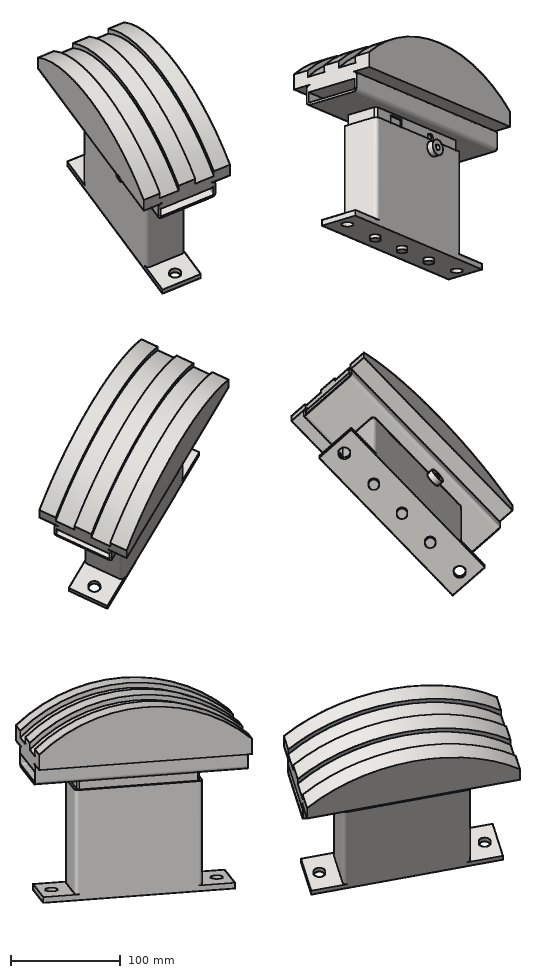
import cadquery as cq
import math

LENGTH = 200.0
HEAD_WIDTH = 90.0
HEIGHT = 192.5

STUD_HEIGHT = 3.5
STUD_SPACING = 38.0
STUD_DIAMETER = 10.0

PLATE_LENGTH = 180.0
PLATE_THICKNESS = 5.5
MOUNT_HOLE_DIAMETER = 11.2
MOUNT_HOLE_INSET = 12.5

POST_LENGTH = 120.0
POST_WIDTH = 40.0
POST_HEIGHT = 100.0
POST_RADIUS = 3.5
NECK_CLEARANCE = 2.5
NECK_CHAMFER = 2.0

RECESS_DEPTH = 2.0
WINDOW_X = -29.0
WINDOW_WIDTH = 15.5
WINDOW_HEIGHT = 8.8
SLOT_WIDTH = 7.5
SLOT_HEIGHT = 7.0

KNOB_X = 19.5
KNOB_DROP = 8.5
KNOB_DIAMETER = 14.8
KNOB_LENGTH = 6.5
KNOB_BORE = 5.2

RAIL_DROP = 72.5
RAIL_WIDTH = 59.5
RAIL_HEIGHT = 19.5
RAIL_WALL = 2.5
RAIL_BEND_RADIUS = 3.5
RAIL_OPENING = 35.0

CROWN_RADIUS = 150.0
GROOVE_DEPTH = 4.8
GROOVE_WIDTH = 19.5
MIDDLE_RIB_WIDTH = 17.5
KEY_DEPTH = 7.0

plate_top = STUD_HEIGHT + PLATE_THICKNESS
post_top = plate_top + POST_HEIGHT
rail_bottom = HEIGHT - RAIL_DROP
rail_top = rail_bottom + RAIL_HEIGHT
neck_height = rail_bottom - post_top


def box(length, width, height, bottom):
    """Block centred on X and Y, standing on the given height."""
    return cq.Workplane("XY", origin=(0, 0, bottom)).box(length, width, height, centered=(True, True, False))


def make_base():
    plate = box(PLATE_LENGTH, POST_WIDTH, PLATE_THICKNESS, STUD_HEIGHT)
    hole_x = PLATE_LENGTH / 2 - MOUNT_HOLE_INSET
    plate = plate.faces(">Z").workplane().pushPoints([(-hole_x, 0), (hole_x, 0)]).hole(MOUNT_HOLE_DIAMETER)
    for place in (-1, 0, 1):
        stud = cq.Workplane("XY").center(place * STUD_SPACING, 0).circle(STUD_DIAMETER / 2).extrude(STUD_HEIGHT)
        plate = plate.union(stud)
    return plate


def make_neck():
    width = POST_WIDTH - 2 * NECK_CLEARANCE
    length = POST_LENGTH - 2 * NECK_CLEARANCE
    neck = box(length, width, neck_height, post_top).edges("|Z").chamfer(NECK_CHAMFER)
    face = cq.Workplane("XZ", origin=(0, -width / 2, post_top))
    window = face.center(WINDOW_X, WINDOW_HEIGHT / 2).rect(WINDOW_WIDTH, WINDOW_HEIGHT).extrude(-RECESS_DEPTH)
    slot_side = SLOT_HEIGHT - SLOT_WIDTH / 2
    slot = (
        face.center(KNOB_X, 0)
        .moveTo(-SLOT_WIDTH / 2, 0)
        .lineTo(-SLOT_WIDTH / 2, slot_side)
        .threePointArc((0, SLOT_HEIGHT), (SLOT_WIDTH / 2, slot_side))
        .lineTo(SLOT_WIDTH / 2, 0)
        .close()
        .extrude(-RECESS_DEPTH)
    )
    return neck.cut(window).cut(slot)


def make_knob():
    face = cq.Workplane("XZ", origin=(KNOB_X, -POST_WIDTH / 2, post_top - KNOB_DROP))
    return face.circle(KNOB_DIAMETER / 2).circle(KNOB_BORE / 2).extrude(KNOB_LENGTH)


def make_rail():
    inner_width = RAIL_WIDTH - 2 * RAIL_WALL
    inner_height = RAIL_HEIGHT - 2 * RAIL_WALL
    inner_radius = RAIL_BEND_RADIUS - RAIL_WALL
    rail = box(LENGTH, RAIL_WIDTH, RAIL_HEIGHT, rail_bottom).edges("|X").fillet(RAIL_BEND_RADIUS)
    cavity = box(LENGTH, inner_width, inner_height, rail_bottom + RAIL_WALL).edges("|X").fillet(inner_radius)
    opening = box(LENGTH, RAIL_OPENING, RAIL_WALL, rail_top - RAIL_WALL)
    return rail.cut(cavity).cut(opening), cavity.union(opening)


def arched_block(radius, width, y, bottom):
    """Block along X with its top rounded about the axis of the crown."""
    axis_z = HEIGHT - CROWN_RADIUS
    shoulder = axis_z + math.sqrt(radius**2 - (LENGTH / 2) ** 2)
    return (
        cq.Workplane("XZ", origin=(0, y + width / 2, 0))
        .moveTo(-LENGTH / 2, bottom)
        .lineTo(-LENGTH / 2, shoulder)
        .threePointArc((0, axis_z + radius), (LENGTH / 2, shoulder))
        .lineTo(LENGTH / 2, bottom)
        .close()
        .extrude(width)
    )


def make_head(rail_space):
    core = arched_block(CROWN_RADIUS - GROOVE_DEPTH, HEAD_WIDTH, 0, rail_top)
    groove_edge = MIDDLE_RIB_WIDTH / 2 + GROOVE_WIDTH
    side_rib_width = HEAD_WIDTH / 2 - groove_edge
    side_rib_y = groove_edge + side_rib_width / 2
    head = core.union(arched_block(CROWN_RADIUS, MIDDLE_RIB_WIDTH, 0, rail_top))
    for side in (-1, 1):
        head = head.union(arched_block(CROWN_RADIUS, side_rib_width, side * side_rib_y, rail_top))
    key = box(LENGTH, RAIL_WIDTH, KEY_DEPTH, rail_top - KEY_DEPTH).intersect(rail_space)
    return head.union(key)


post = box(POST_LENGTH, POST_WIDTH, POST_HEIGHT, plate_top).edges("|Z").fillet(POST_RADIUS)
rail, rail_space = make_rail()

result = make_base().union(post).union(make_neck()).union(make_knob()).union(rail).union(make_head(rail_space))